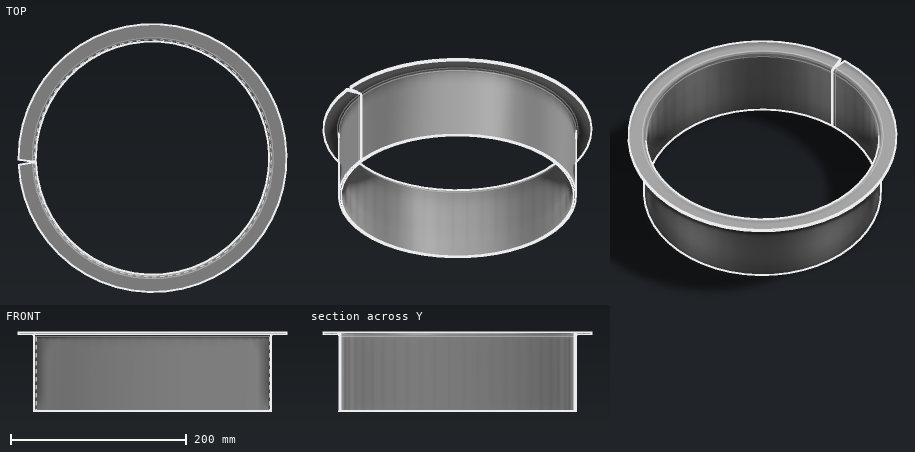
import cadquery as cq
import math

sheet_thickness = 2.5
bend_radius = 2.0
height = 90.0
wall_radius = 135.0
flange_radius = 152.5

tab_length = 4.0
slit_width = 1.0
miter_angle = 7.5

inner_radius = wall_radius - sheet_thickness
bend_end_radius = wall_radius + bend_radius
flange_underside = height - sheet_thickness
bend_start_height = flange_underside - bend_radius
top_bend_radius = bend_radius + sheet_thickness

slit_far_y = -(tab_length + slit_width)
slit_angle = math.degrees(math.asin(-slit_far_y / wall_radius))


def sheet_section():
    """Cross-section of wall, bend and flange in the XZ plane, on the -X side."""
    inside_offset = bend_radius * math.sqrt(0.5)
    outside_offset = top_bend_radius * math.sqrt(0.5)
    inside_mid = (-bend_end_radius + inside_offset, bend_start_height + inside_offset)
    outside_mid = (-bend_end_radius + outside_offset, bend_start_height + outside_offset)
    return (
        cq.Workplane("XZ")
        .moveTo(-wall_radius, 0)
        .lineTo(-wall_radius, bend_start_height)
        .threePointArc(inside_mid, (-bend_end_radius, flange_underside))
        .lineTo(-flange_radius, flange_underside)
        .lineTo(-flange_radius, height)
        .lineTo(-bend_end_radius, height)
        .threePointArc(outside_mid, (-inner_radius, bend_start_height))
        .lineTo(-inner_radius, 0)
        .close()
    )


def rolled_sheet():
    """Section swept clockwise from -X, stopping short at the slit."""
    return sheet_section().revolve(360 - slit_angle, (0, 0), (0, -1))


def straight_tab():
    """Section carried on straight in -Y from the start of the roll."""
    return sheet_section().extrude(tab_length)


def flange_miter():
    """Wedge that opens the slit outward across the flange, from the end of the bend."""
    overrun = 1.0
    cut_radius = flange_radius + overrun
    run = cut_radius - bend_end_radius
    tab_side_rise = run * math.tan(math.radians(miter_angle))
    roll_side_drop = run * math.tan(math.radians(slit_angle + miter_angle))
    return (
        cq.Workplane("XY", origin=(0, 0, bend_start_height))
        .moveTo(-bend_end_radius, -tab_length)
        .lineTo(-cut_radius, -tab_length + tab_side_rise)
        .lineTo(-cut_radius, slit_far_y - roll_side_drop)
        .lineTo(-bend_end_radius, slit_far_y)
        .close()
        .extrude(top_bend_radius + overrun)
    )


result = rolled_sheet().union(straight_tab()).cut(flange_miter())